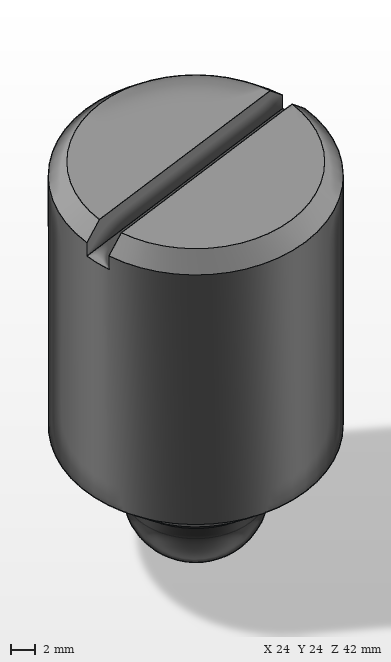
import cadquery as cq

total_length = 42.0
body_diameter = 24.0
collar_diameter = 14.0
pin_diameter = 12.0
collar_height = 2.0
pin_straight_length = 2.0
top_chamfer = 1.5
bottom_chamfer = 3.0
slot_width = 2.4
slot_depth = 3.0

body_radius = body_diameter / 2
collar_radius = collar_diameter / 2
pin_radius = pin_diameter / 2
collar_bottom = pin_radius + pin_straight_length
body_bottom = collar_bottom + collar_height
dome_mid_offset = pin_radius * 0.5 ** 0.5


def make_turned_part():
    """Chamfered body, collar and round-nosed pin, revolved about Z."""
    half_profile = (
        cq.Workplane("XZ")
        .moveTo(0, 0)
        .threePointArc((dome_mid_offset, pin_radius - dome_mid_offset), (pin_radius, pin_radius))
        .lineTo(pin_radius, collar_bottom)
        .lineTo(collar_radius, collar_bottom)
        .lineTo(collar_radius, body_bottom)
        .lineTo(body_radius - bottom_chamfer, body_bottom)
        .lineTo(body_radius, body_bottom + bottom_chamfer)
        .lineTo(body_radius, total_length - top_chamfer)
        .lineTo(body_radius - top_chamfer, total_length)
        .lineTo(0, total_length)
        .close()
    )
    return half_profile.revolve(360, (0, 0, 0), (0, 1, 0))


def make_screwdriver_slot():
    """Cutter for the slot that crosses the top face along Y."""
    return (
        cq.Workplane("XY")
        .workplane(offset=total_length - slot_depth)
        .rect(slot_width, body_diameter)
        .extrude(slot_depth)
    )


result = make_turned_part().cut(make_screwdriver_slot())